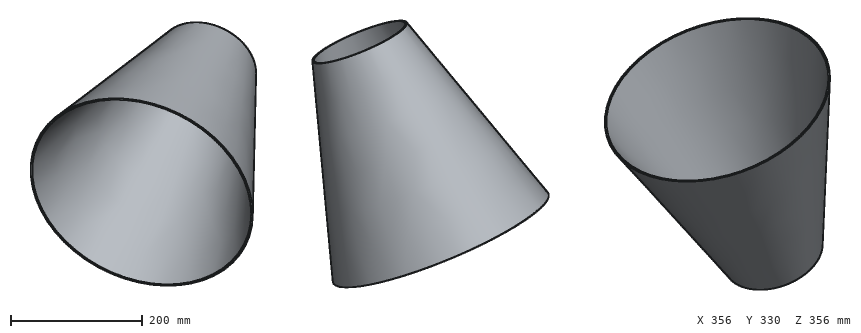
import cadquery as cq

wide_diameter = 356.0
narrow_diameter = 156.0
length = 330.0
wall = 3.0

wide_radius = wide_diameter / 2
narrow_radius = narrow_diameter / 2


def cone_shell():
    """Revolve the slanted wall section about the Y axis."""
    wall_section = [
        (wide_radius - wall, 0),
        (wide_radius, 0),
        (narrow_radius, length),
        (narrow_radius - wall, length),
    ]
    return cq.Workplane("XY").polyline(wall_section).close().revolve(360, (0, 0, 0), (0, 1, 0))


result = cone_shell()